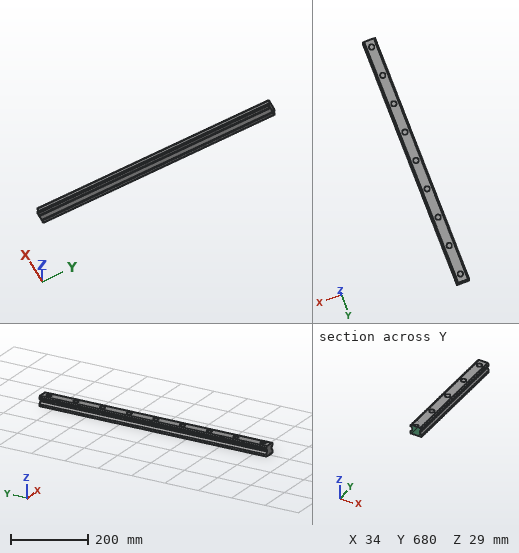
import cadquery as cq

LENGTH = 680.0
WIDTH = 34.0
HEIGHT = 29.0

HEAD_TOP_WIDTH = 26.5
LIP_TOP_Z = 26.0
LIP_BOTTOM_Z = 22.5
LIP_LAND = 1.0
GROOVE_RADIUS = 4.0
LOWER_GROOVE_WIDTH = 27.0
LOWER_GROOVE_Z = 20.0

WAIST_WIDTH = 24.0
WAIST_TOP_Z = 18.0
WAIST_BOTTOM_Z = 13.0
FOOT_SHOULDER_Z = 7.0
FOOT_CHAMFER = 1.7

RELIEF_OFFSET = 7.5
RELIEF_WIDTH = 3.0
RELIEF_DEPTH = 1.0

RECESS_COUNT = 9
RECESS_END_MARGIN = 20.0
RECESS_DIAMETER = 14.0
RECESS_DEPTH = 0.35
RECESS_PITCH = (LENGTH - 2 * RECESS_END_MARGIN) / (RECESS_COUNT - 1)


def make_half_rail():
    """Extrude the +X half of the rail section, with its V relief cut in the underside."""
    half_width = WIDTH / 2
    half_waist = WAIST_WIDTH / 2
    section = (
        cq.Workplane("XZ")
        .moveTo(0, 0)
        .lineTo(RELIEF_OFFSET - RELIEF_WIDTH / 2, 0)
        .lineTo(RELIEF_OFFSET, RELIEF_DEPTH)
        .lineTo(RELIEF_OFFSET + RELIEF_WIDTH / 2, 0)
        .lineTo(half_width - FOOT_CHAMFER, 0)
        .lineTo(half_width, FOOT_CHAMFER)
        .lineTo(half_width, FOOT_SHOULDER_Z)
        .lineTo(half_waist, WAIST_BOTTOM_Z)
        .lineTo(half_waist, WAIST_TOP_Z)
        .lineTo(LOWER_GROOVE_WIDTH / 2, LOWER_GROOVE_Z)
        .radiusArc((half_width, LIP_BOTTOM_Z), GROOVE_RADIUS)
        .lineTo(half_width, LIP_TOP_Z)
        .lineTo(half_width - LIP_LAND, LIP_TOP_Z)
        .radiusArc((HEAD_TOP_WIDTH / 2, HEIGHT), GROOVE_RADIUS)
        .lineTo(0, HEIGHT)
        .close()
    )
    return section.extrude(LENGTH / 2, both=True)


def make_recesses():
    """Return the row of discs to cut from the top face."""
    top = cq.Workplane("XY", origin=(0, 0, HEIGHT))
    row = top.rarray(7, RECESS_PITCH, 1, RECESS_COUNT)
    return row.circle(RECESS_DIAMETER / 2).extrude(-RECESS_DEPTH)


half_rail = make_half_rail()
rail = half_rail.union(half_rail.mirror("YZ")).clean()
result = rail.cut(make_recesses())